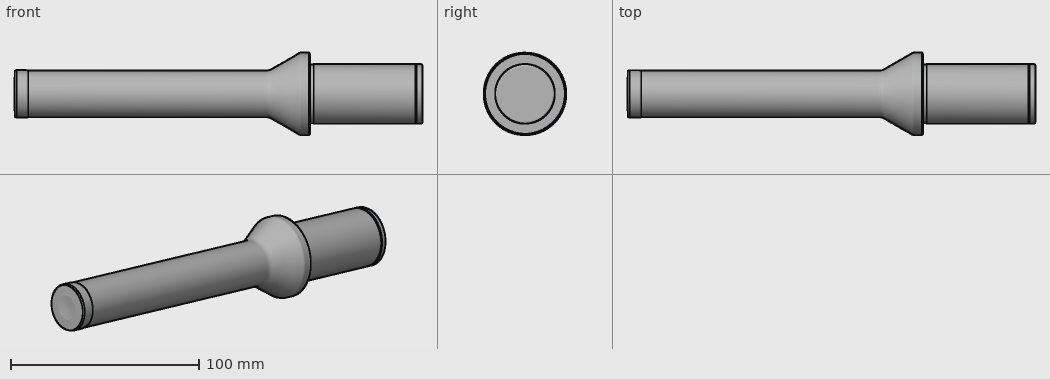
import cadquery as cq
import math

LENGTH = 217.0
START_X = -LENGTH / 2

TIP_LENGTH = 7.4
TIP_RADIUS = 25.4 / 2
TIP_CHAMFER_HEIGHT = 0.5
TIP_CHAMFER_LENGTH = 1.0
TIP_FACE_CROWN = 0.2
TIP_BACK_CHAMFER_LENGTH = 1.3
CENTRE_RADIUS = 6.7
CENTRE_DEPTH = 0.7

SHAFT_RADIUS = 25.0 / 2
FLARE_ANGLE = 30
FLARE_BLEND_RADIUS = 5.6

COLLAR_START = 151.5
COLLAR_END = 157.3
COLLAR_RADIUS = 44.0 / 2
COLLAR_FRONT_ROUND = 2.0
COLLAR_BACK_CHAMFER = 0.9

SHANK_RADIUS = 32.0 / 2
RELIEF_RADIUS = 31.5 / 2
RELIEF_END = 159.0
GROOVE_START = 213.0
GROOVE_WIDTH = 0.7
END_ROUND = 1.3


def revolve_about_axis(profile):
    """Close a half profile drawn from the tip and turn it around the X axis."""
    return profile.close().revolve(360, (0, 0, 0), (1, 0, 0)).translate((START_X, 0, 0))


def make_tip():
    face_rim_radius = TIP_RADIUS - TIP_CHAMFER_HEIGHT
    chamfer_end = TIP_FACE_CROWN + TIP_CHAMFER_LENGTH
    profile = (
        cq.Workplane("XY")
        .moveTo(CENTRE_DEPTH, 0)
        .lineTo(0, CENTRE_RADIUS)
        .lineTo(TIP_FACE_CROWN, face_rim_radius)
        .lineTo(chamfer_end, TIP_RADIUS)
        .lineTo(TIP_LENGTH - TIP_BACK_CHAMFER_LENGTH, TIP_RADIUS)
        .lineTo(TIP_LENGTH, SHAFT_RADIUS)
        .lineTo(TIP_LENGTH, 0)
    )
    return revolve_about_axis(profile)


def make_body():
    angle = math.radians(FLARE_ANGLE)

    round_end = COLLAR_START + COLLAR_FRONT_ROUND * math.sin(angle)
    flare_end_radius = COLLAR_RADIUS - COLLAR_FRONT_ROUND * (1 - math.cos(angle))

    blend_end_radius = SHAFT_RADIUS + FLARE_BLEND_RADIUS * (1 - math.cos(angle))
    blend_end = COLLAR_START - (flare_end_radius - blend_end_radius) / math.tan(angle)
    blend_start = blend_end - FLARE_BLEND_RADIUS * math.sin(angle)

    groove_end = GROOVE_START + GROOVE_WIDTH
    profile = (
        cq.Workplane("XY")
        .moveTo(TIP_LENGTH, 0)
        .lineTo(TIP_LENGTH, SHAFT_RADIUS)
        .lineTo(blend_start, SHAFT_RADIUS)
        .tangentArcPoint((blend_end, blend_end_radius), relative=False)
        .lineTo(COLLAR_START, flare_end_radius)
        .tangentArcPoint((round_end, COLLAR_RADIUS), relative=False)
        .lineTo(COLLAR_END - COLLAR_BACK_CHAMFER, COLLAR_RADIUS)
        .lineTo(COLLAR_END, COLLAR_RADIUS - COLLAR_BACK_CHAMFER)
        .lineTo(COLLAR_END, RELIEF_RADIUS)
        .lineTo(RELIEF_END, RELIEF_RADIUS)
        .lineTo(RELIEF_END, SHANK_RADIUS)
        .lineTo(GROOVE_START, SHANK_RADIUS)
        .lineTo(GROOVE_START, RELIEF_RADIUS)
        .lineTo(groove_end, RELIEF_RADIUS)
        .lineTo(groove_end, SHANK_RADIUS)
        .lineTo(LENGTH - END_ROUND, SHANK_RADIUS)
        .tangentArcPoint((LENGTH, SHANK_RADIUS - END_ROUND), relative=False)
        .lineTo(LENGTH, 0)
    )
    return revolve_about_axis(profile)


tip = make_tip()
body = make_body()
result = cq.Compound.makeCompound([tip.val(), body.val()])